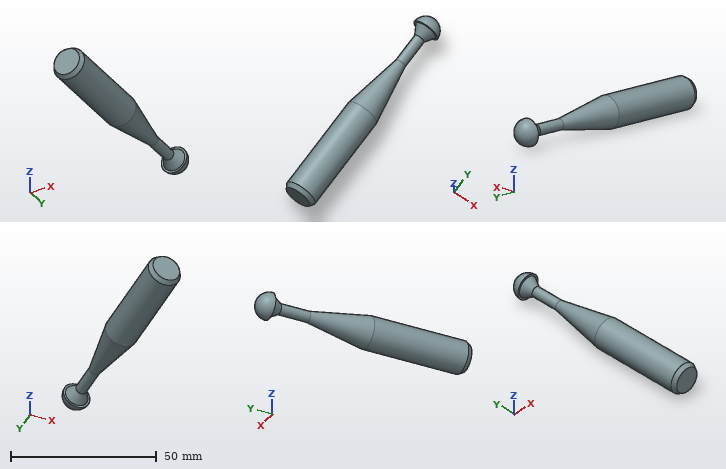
import cadquery as cq
import math

total_length = 80.75

grip_diameter = 12.0
grip_radius = grip_diameter / 2
grip_end_radius = 5.0
chamfer_angle = 30.0
neck_radius = 2.0
taper_length = 22.6
neck_length = 11.2

collar_length = 3.8
collar_large_radius = 4.2
dome_radius = 5.0

dome_base_y = total_length - dome_radius
collar_base_y = dome_base_y - collar_length
neck_base_y = collar_base_y - neck_length
taper_base_y = neck_base_y - taper_length
chamfer_length = (grip_radius - grip_end_radius) / math.tan(math.radians(chamfer_angle))


def revolve_about_y(profile):
    """Turn a closed half profile, drawn in the XY plane, about the Y axis."""
    return profile.revolve(360, (0, 0, 0), (0, 1, 0))


def make_handle():
    """Chamfered round grip that tapers to a slim neck."""
    profile = (
        cq.Workplane("XY")
        .lineTo(grip_end_radius, 0)
        .lineTo(grip_radius, chamfer_length)
        .lineTo(grip_radius, taper_base_y)
        .lineTo(neck_radius, neck_base_y)
        .lineTo(neck_radius, collar_base_y)
        .lineTo(0, collar_base_y)
        .close()
    )
    return revolve_about_y(profile)


def make_collar():
    """Cone that widens from the neck towards the dome."""
    profile = (
        cq.Workplane("XY")
        .moveTo(0, collar_base_y)
        .lineTo(neck_radius, collar_base_y)
        .lineTo(collar_large_radius, dome_base_y)
        .lineTo(0, dome_base_y)
        .close()
    )
    return revolve_about_y(profile)


def make_dome():
    """Hemisphere whose flat face rests on the collar and overhangs it."""
    arc_offset = dome_radius * math.sin(math.radians(45))
    profile = (
        cq.Workplane("XY")
        .moveTo(0, dome_base_y)
        .lineTo(dome_radius, dome_base_y)
        .threePointArc((arc_offset, dome_base_y + arc_offset), (0, total_length))
        .close()
    )
    return revolve_about_y(profile)


handle = make_handle()
collar = make_collar()
dome = make_dome()

result = cq.Compound.makeCompound([handle.val(), collar.val(), dome.val()])